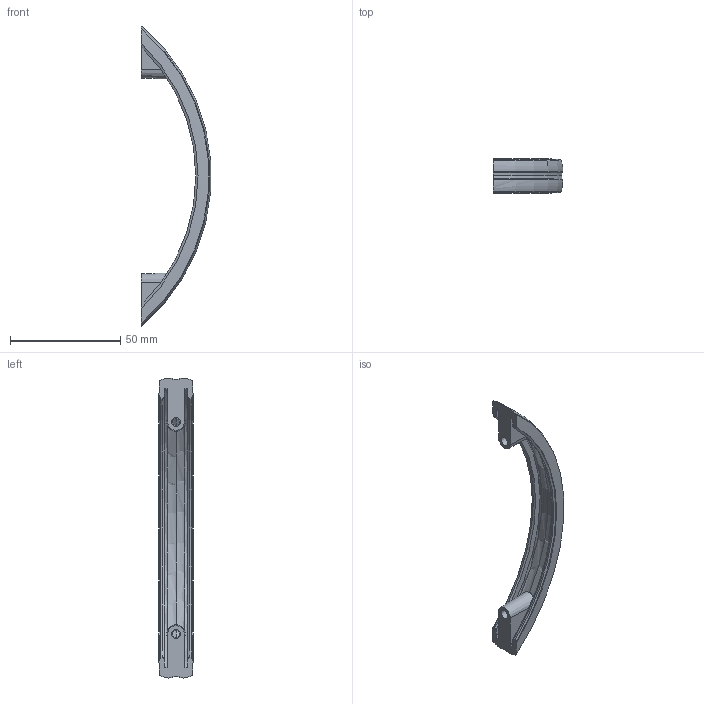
import cadquery as cq

handle_length = 135.84
handle_rise = 31.67
handle_width = 15.49

half_length = handle_length / 2
arch_radius = (half_length**2 + handle_rise**2) / (2 * handle_rise)
axis_x = handle_rise - arch_radius

section_depth = 7.0
side_base_half_width = handle_width / 2
side_top_half_width = 7.45
side_top_depth = 1.0
crown_offset = 3.0
crown_end_half_width = 6.95
crown_end_depth = 0.7
groove_half_width = 1.8
groove_edge_depth = 0.07
groove_bottom_half_width = 1.4
groove_bottom_depth = 0.35
groove_depth = 0.5

step_width = 0.45
step_height = 1.0
outer_bevel_width = 0.4
inner_bevel_width = 0.9
inner_bevel_depth = 0.5

channel_half_width = 5.25
ledge_depth = 3.65
ceiling_half_width = 4.0
ceiling_dome_depth = 3.4
ceiling_ridge_depth = 3.6

hole_spacing = 96.0
hole_diameter = 4.0
post_width = 7.5
post_draft = 1.5
hole_draft = 1.5
post_embedding = 0.6


def section_point(offset, depth):
    """Point of the section at the middle of the arch, on the XY plane."""
    return (handle_rise - depth, offset)


def half_section():
    """Half of the arch section, on the +Y side of the middle plane."""
    crown_end = section_point(crown_end_half_width, crown_end_depth)
    step_depth = section_depth - step_height
    stepped_half_width = side_base_half_width - step_width
    ceiling_ridge = section_point(0, ceiling_ridge_depth)
    return (
        cq.Workplane("XY")
        .moveTo(*section_point(0, groove_depth))
        .lineTo(*section_point(groove_bottom_half_width, groove_bottom_depth))
        .lineTo(*section_point(groove_half_width, groove_edge_depth))
        .threePointArc(section_point(crown_offset, 0), crown_end)
        .lineTo(*section_point(side_top_half_width, side_top_depth))
        .lineTo(*section_point(side_base_half_width, step_depth))
        .lineTo(*section_point(stepped_half_width, step_depth))
        .lineTo(*section_point(stepped_half_width - outer_bevel_width, section_depth))
        .lineTo(*section_point(channel_half_width + inner_bevel_width, section_depth))
        .lineTo(*section_point(channel_half_width, section_depth - inner_bevel_depth))
        .lineTo(*section_point(channel_half_width, ledge_depth))
        .lineTo(*section_point(ceiling_half_width, ledge_depth))
        .threePointArc(section_point(ceiling_half_width / 2, ceiling_dome_depth), ceiling_ridge)
        .close()
    )


def make_quarter_arch():
    """The +Y, +Z quarter of the arch, cut off at the mounting plane."""
    quarter = half_section().revolve(90, (axis_x, 0), (axis_x, -1))
    space_ahead_of_mounting_plane = cq.Workplane("XY").box(
        2 * handle_rise, 2 * handle_width, 2 * handle_length, centered=(False, True, True)
    )
    return quarter.intersect(space_ahead_of_mounting_plane)


def make_post():
    """Upper post: a drafted round-ended bar, trimmed to the curve of the arch."""
    hole_z = hole_spacing / 2
    post_radius = post_width / 2
    bar = (
        cq.Workplane("YZ")
        .moveTo(-post_radius, half_length)
        .lineTo(-post_radius, hole_z)
        .threePointArc((0, hole_z - post_radius), (post_radius, hole_z))
        .lineTo(post_radius, half_length)
        .close()
        .extrude(handle_rise, taper=-post_draft)
    )
    hole = cq.Workplane("YZ").center(0, hole_z).circle(hole_diameter / 2).extrude(handle_rise, taper=hole_draft)
    trim_radius = arch_radius - ceiling_ridge_depth + post_embedding
    trim = cq.Workplane("XZ").center(axis_x, 0).circle(trim_radius).extrude(handle_width, both=True)
    return bar.cut(hole).intersect(trim)


quarter_arch = make_quarter_arch()
upper_arch = quarter_arch.union(quarter_arch.mirror("XZ"))
upper_half = upper_arch.union(make_post())
result = upper_half.union(upper_half.mirror("XY"))